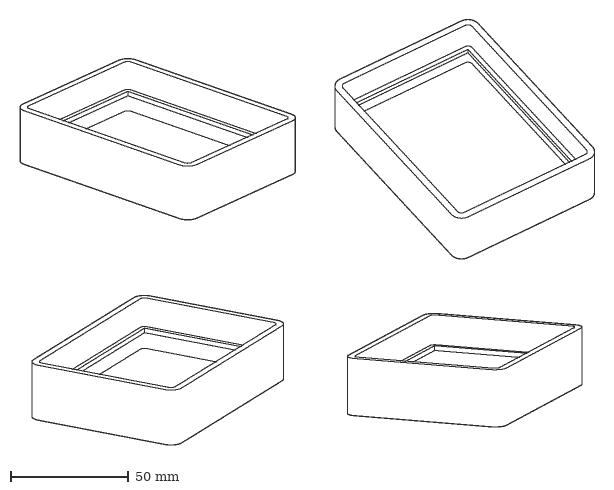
import cadquery as cq

length = 98.3
width = 72.2
height = 25.0
corner_radius = 5.2

wall = 3.1
floor = 2.1

lip_depth = corner_radius - wall
lip_thickness = 2.1
lip_top = 12.0


def rounded_block(inset, bottom, top):
    """Block set in from the outer sides, with corners concentric to the outer ones."""
    block = cq.Workplane("XY").workplane(offset=bottom)
    block = block.rect(length - 2 * inset, width - 2 * inset).extrude(top - bottom)
    return block.edges("|Z").fillet(corner_radius - inset)


def inner_lip():
    """Rectangular ring that fills the cavity outline around a sharp-cornered opening."""
    opening_inset = wall + lip_depth
    lip_bottom = lip_top - lip_thickness
    opening = cq.Workplane("XY").workplane(offset=lip_bottom)
    opening = opening.rect(length - 2 * opening_inset, width - 2 * opening_inset).extrude(lip_thickness)
    return rounded_block(wall, lip_bottom, lip_top).cut(opening)


body = rounded_block(0, 0, height)
cavity = rounded_block(wall, floor, height).cut(inner_lip())

result = body.cut(cavity)